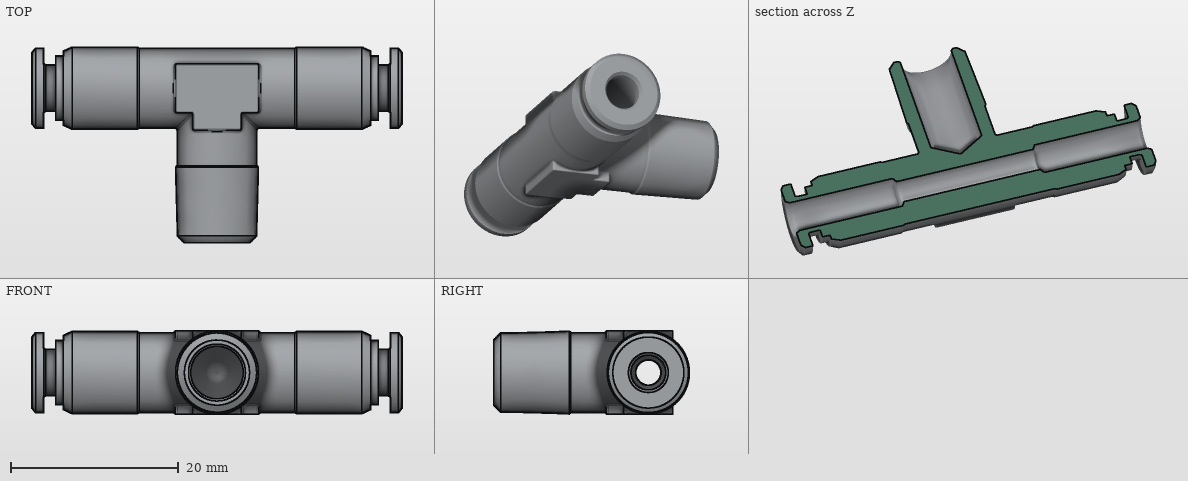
import cadquery as cq
import math

drill_point_angle = 118.0

overall_length = 44.2
half_length = overall_length / 2
body_radius = 4.77

sleeve_radius = 4.9
sleeve_inset = 3.75
sleeve_chamfer_length = 1.05
sleeve_chamfer_height = 0.5
sleeve_end_inset = 12.8
sleeve_step_length = 0.25

collar_radius = 4.77
collar_thickness = 1.4
collar_chamfer_length = 0.45
collar_chamfer_height = 0.55
neck_radius = 2.8
neck_cone_length = 0.2
neck_cone_height = 0.15
ring_radius = 3.85
ring_inset = 2.85

passage_radius = 1.5
socket_radius = 2.08
socket_mouth_radius = 2.4
socket_mouth_depth = 0.5
socket_depth = 13.25

stem_length = 18.48
taper_start = 9.25
taper_start_radius = 4.95
taper_end_radius = 4.75
taper_lip_length = 0.2
stem_chamfer = 0.85

stem_bore_radius = 3.15
stem_mouth_chamfer = 0.25
stem_bore_depth = 13.25

pad_half_height = 5.0
pad_reach = 5.0
pad_half_width = 2.9
edge_radius = 0.2
rim_radius = 0.15


def turned(profile, axis_end):
    """Revolve a closed profile about the line from the origin to axis_end."""
    return cq.Workplane("XY").polyline(profile).close().revolve(360, (0, 0), axis_end)


def junction():
    """Plain run and stem with T-shaped pads, all meeting edges rounded."""
    run = cq.Workplane("YZ").circle(body_radius).extrude(half_length - sleeve_end_inset, both=True)
    stem = cq.Workplane("XZ").circle(body_radius).extrude(taper_start)

    tall_half_height = pad_half_height + body_radius
    bar = cq.Workplane("XY").rect(2 * pad_reach, 2 * pad_half_width)
    leg = cq.Workplane("XY").center(0, -pad_reach / 2).rect(2 * pad_half_width, pad_reach)
    tee_block = bar.extrude(tall_half_height, both=True).union(leg.extrude(tall_half_height, both=True))
    joined = run.union(stem).union(tee_block)

    margin = 0.05
    foot_height = math.sqrt(body_radius**2 - pad_half_width**2)

    def pad_box(side):
        near_corner = (-pad_reach - margin, -pad_reach - margin, side * (foot_height - margin))
        far_corner = (pad_reach + margin, pad_half_width + margin, side * (tall_half_height + margin))
        return cq.selectors.BoxSelector(near_corner, far_corner, boundingbox=True)

    creases = cq.selectors.TypeSelector("ELLIPSE")
    rounded = joined.edges(pad_box(1) + pad_box(-1) + creases).fillet(edge_radius)

    flat_zone = cq.Workplane("XY").box(overall_length, overall_length, 2 * pad_half_height)
    return rounded.intersect(flat_zone).faces(">Z or <Z").edges().fillet(rim_radius)


def run_end():
    """Sleeve, ring, neck and collar at the +X end, as one turned solid."""
    sleeve_face = half_length - sleeve_inset
    sleeve_back = half_length - sleeve_end_inset
    ring_face = half_length - ring_inset
    collar_back = half_length - collar_thickness
    profile = [
        (sleeve_back, 0),
        (sleeve_back, body_radius),
        (sleeve_back + sleeve_step_length, sleeve_radius),
        (sleeve_face - sleeve_chamfer_length, sleeve_radius),
        (sleeve_face, sleeve_radius - sleeve_chamfer_height),
        (sleeve_face, ring_radius),
        (ring_face, ring_radius),
        (ring_face, neck_radius),
        (collar_back - neck_cone_length, neck_radius),
        (collar_back, neck_radius + neck_cone_height),
        (collar_back, collar_radius),
        (half_length - collar_chamfer_length, collar_radius),
        (half_length, collar_radius - collar_chamfer_height),
        (half_length, 0),
    ]
    return turned(profile, (1, 0))


def run_bore():
    """Bore of the +X half of the run."""
    socket_end = half_length - socket_depth
    seat_length = (socket_radius - passage_radius) / math.tan(math.radians(drill_point_angle / 2))
    profile = [
        (0, 0),
        (0, passage_radius),
        (socket_end - seat_length, passage_radius),
        (socket_end, socket_radius),
        (half_length - socket_mouth_depth, socket_radius),
        (half_length, socket_mouth_radius),
        (half_length, 0),
    ]
    return turned(profile, (1, 0))


def stem_end():
    """Tapered end of the stem."""
    profile = [
        (0, -taper_start),
        (body_radius, -taper_start),
        (taper_start_radius, -taper_start - taper_lip_length),
        (taper_end_radius, -stem_length + stem_chamfer),
        (taper_end_radius - stem_chamfer, -stem_length),
        (0, -stem_length),
    ]
    return turned(profile, (0, 1))


def stem_bore():
    """Blind bore of the stem, which stops short of the run's passage."""
    bore_end = -stem_length + stem_bore_depth
    point_length = stem_bore_radius / math.tan(math.radians(drill_point_angle / 2))
    profile = [
        (0, -stem_length),
        (stem_bore_radius + stem_mouth_chamfer, -stem_length),
        (stem_bore_radius, -stem_length + stem_mouth_chamfer),
        (stem_bore_radius, bore_end),
        (0, bore_end + point_length),
    ]
    return turned(profile, (0, 1))


body = junction().union(stem_end())
end = run_end()
body = body.union(end).union(end.mirror("YZ"))
bore = run_bore()
result = body.cut(bore).cut(bore.mirror("YZ")).cut(stem_bore())